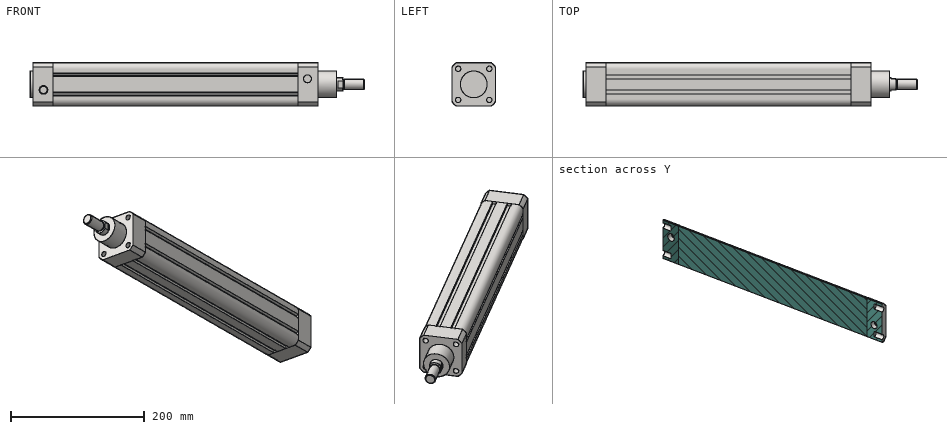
import cadquery as cq


BODY_SIZE = 65.0
HALF_SIZE = BODY_SIZE / 2
CAP_ROUND_DIAMETER = 83.5
TUBE_CORNER_RADIUS = 9.8

TOTAL_LENGTH = 499.0
REAR_BOSS_LENGTH = 4.0
CAP_LENGTH = 30.0
TUBE_LENGTH = 366.0
FRONT_BOSS_LENGTH = 27.8

REAR_CAP_X = REAR_BOSS_LENGTH
TUBE_X = REAR_CAP_X + CAP_LENGTH
FRONT_CAP_X = TUBE_X + TUBE_LENGTH
FRONT_FACE_X = FRONT_CAP_X + CAP_LENGTH
FRONT_BOSS_END_X = FRONT_FACE_X + FRONT_BOSS_LENGTH

BOSS_DIAMETER = 40.0
SCREW_HOLE_SPACING = 46.5
SCREW_HOLE_DIAMETER = 8.0
SCREW_HOLE_DEPTH = 15.0
FRONT_PORT_DIAMETER = 11.8
REAR_PORT_DIAMETER = 10.8
REAR_PORT_CHAMFER = 1.0
PORT_DEPTH = 12.0
PORT_INSET_X = 15.8
PORT_OFFSET_Z = 8.3
REAR_PORT_X = REAR_CAP_X + PORT_INSET_X
FRONT_PORT_X = FRONT_FACE_X - PORT_INSET_X

GROOVE_DEPTH = 4.2
SIDE_GROOVE_INNER = 11.4
SIDE_GROOVE_OUTER = 17.2
SIDE_GROOVE_TAPER = 1.5
TOP_GROOVE_INNER = 8.2
TOP_GROOVE_OUTER = 14.3

ROD_DIAMETER = 20.0
ROD_FLATS_WIDTH = 17.0
ROD_COLLAR_LENGTH = 2.0
SHOULDER_REACH = 37.0
ROD_SHOULDER_X = FRONT_FACE_X + SHOULDER_REACH
RELIEF_DIAMETER = 13.6
RELIEF_LENGTH = 1.0
THREAD_DIAMETER = 16.0
THREAD_CHAMFER = 1.2


def square_bar(start_x, length):
    """Square bar along X with sharp edges."""
    return cq.Workplane("YZ", origin=(start_x, 0, 0)).rect(BODY_SIZE, BODY_SIZE).extrude(length)


def round_bar(start_x, length, diameter):
    """Cylinder on the X axis."""
    return cq.Workplane("YZ", origin=(start_x, 0, 0)).circle(diameter / 2).extrude(length)


def cap_block(start_x):
    """Square cap block with its corners trimmed to a circle about the X axis."""
    return square_bar(start_x, CAP_LENGTH).intersect(round_bar(start_x, CAP_LENGTH, CAP_ROUND_DIAMETER))


def screw_holes(start_x):
    """Four cylinders in the screw pattern, used to cut the blind screw holes."""
    pattern = cq.Workplane("YZ", origin=(start_x, 0, 0)).rect(
        SCREW_HOLE_SPACING, SCREW_HOLE_SPACING, forConstruction=True
    )
    return pattern.vertices().circle(SCREW_HOLE_DIAMETER / 2).extrude(SCREW_HOLE_DEPTH)


def port(x, z, diameter):
    """Cylinder reaching in from the -Y face, used to cut an air port."""
    start = cq.Workplane("XZ", origin=(x, -HALF_SIZE, z))
    return start.circle(diameter / 2).extrude(-PORT_DEPTH)


def make_rear_cap():
    boss = round_bar(0, REAR_BOSS_LENGTH, BOSS_DIAMETER)
    cap = cap_block(REAR_CAP_X).union(boss)
    cap = cap.cut(screw_holes(REAR_CAP_X))
    rear_port = port(REAR_PORT_X, -PORT_OFFSET_Z, REAR_PORT_DIAMETER)
    mouth_radius = REAR_PORT_DIAMETER / 2 + REAR_PORT_CHAMFER
    countersink = cq.Workplane(
        cq.Solid.makeCone(
            mouth_radius,
            REAR_PORT_DIAMETER / 2,
            REAR_PORT_CHAMFER,
            pnt=cq.Vector(REAR_PORT_X, -HALF_SIZE, -PORT_OFFSET_Z),
            dir=cq.Vector(0, 1, 0),
        )
    )
    return cap.cut(rear_port).cut(countersink)


def make_front_cap():
    boss = round_bar(FRONT_FACE_X, FRONT_BOSS_LENGTH, BOSS_DIAMETER)
    cap = cap_block(FRONT_CAP_X).union(boss)
    cap = cap.cut(screw_holes(FRONT_FACE_X - SCREW_HOLE_DEPTH))
    cap = cap.cut(port(FRONT_PORT_X, PORT_OFFSET_Z, FRONT_PORT_DIAMETER))
    rod_bore = round_bar(FRONT_CAP_X, CAP_LENGTH + FRONT_BOSS_LENGTH, ROD_DIAMETER)
    return cap.cut(rod_bore)


def groove(inner, outer, taper):
    """Full-length groove in the +Z face, at +Y; its walls lean in by the taper."""
    floor_z = HALF_SIZE - GROOVE_DEPTH
    section = [
        (inner, HALF_SIZE),
        (outer, HALF_SIZE),
        (outer - taper, floor_z),
        (inner + taper, floor_z),
    ]
    return cq.Workplane("YZ", origin=(TUBE_X, 0, 0)).polyline(section).close().extrude(TUBE_LENGTH)


def make_tube():
    tube = square_bar(TUBE_X, TUBE_LENGTH).edges("|X").fillet(TUBE_CORNER_RADIUS)
    top_groove = groove(TOP_GROOVE_INNER, TOP_GROOVE_OUTER, 0)
    side_groove = groove(SIDE_GROOVE_INNER, SIDE_GROOVE_OUTER, SIDE_GROOVE_TAPER)
    side_groove = side_groove.rotate((0, 0, 0), (1, 0, 0), 90)
    for cutter in (top_groove, side_groove):
        mirrored_in_y = cutter.mirror("XZ")
        for half in (cutter, mirrored_in_y):
            tube = tube.cut(half).cut(half.mirror("XY"))
    return tube


def make_rod():
    shank = round_bar(FRONT_CAP_X, ROD_SHOULDER_X - FRONT_CAP_X, ROD_DIAMETER)

    flats_x = FRONT_BOSS_END_X + ROD_COLLAR_LENGTH
    flats_length = ROD_SHOULDER_X - flats_x
    flats_plane = cq.Workplane("YZ", origin=(flats_x, 0, 0))
    outside_flats = (
        flats_plane.rect(2 * ROD_DIAMETER, 2 * ROD_DIAMETER)
        .rect(ROD_FLATS_WIDTH, 2 * ROD_DIAMETER)
        .extrude(flats_length)
    )
    shank = shank.cut(outside_flats)

    relief = round_bar(ROD_SHOULDER_X, RELIEF_LENGTH, RELIEF_DIAMETER)
    thread_x = ROD_SHOULDER_X + RELIEF_LENGTH
    thread = round_bar(thread_x, TOTAL_LENGTH - thread_x, THREAD_DIAMETER)
    thread = thread.edges("%CIRCLE").chamfer(THREAD_CHAMFER)
    return shank.union(relief).union(thread)


rear_cap = make_rear_cap()
tube = make_tube()
front_cap = make_front_cap()
rod = make_rod()

result = cq.Compound.makeCompound([rear_cap.val(), tube.val(), front_cap.val(), rod.val()])